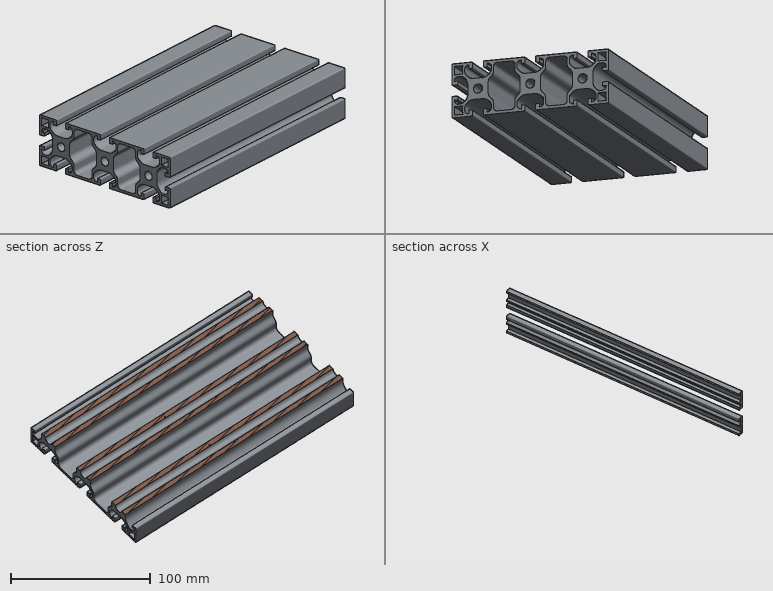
import cadquery as cq

CELL = 40.0
CELL_COUNT = 3
LENGTH = 200.0
WIDTH = CELL * CELL_COUNT
HALF = CELL / 2

SKIN = 2.0
CORE_HALF = 7.8
BORE_DIAMETER = 6.8

OPENING = 8.2
LIP_DEPTH = 4.5
LIP_WIDTH = 2.8
CAVITY_HALF = 10.2
FLOOR_HALF = 6.0
CAVITY_TOP_RADIUS = 3.0
CAVITY_FLANK_RADIUS = 3.5
FLOOR_RADIUS = 6.5

WEB = 1.5
CHAMBER_SIDE = CAVITY_HALF + WEB
CHAMBER_CORE_HALF = 5.8
CHAMBER_CORE_RADIUS = 4.0
CHAMBER_FLANK_RADIUS = 4.0
CHAMBER_CORNER_RADIUS = 3.0

TUBE = HALF - SKIN - CHAMBER_SIDE
OUTER_RADIUS = 1.0
LIP_RADIUS = 1.0
LIP_SMALL_RADIUS = 0.5

TOLERANCE = 0.02

SLOT_UP, SLOT_LEFT, SLOT_DOWN, SLOT_RIGHT = 0, 90, 180, 270


def on_profile_plane():
    """Workplane whose extrusions run along +Y, with X and Z in the plane."""
    return cq.Workplane("XZ", origin=(0, -LENGTH / 2, 0))


def prism(outline):
    """Extrude an outline through the full length."""
    return outline.extrude(-LENGTH)


def edges_at(x, z):
    """Selector for the lengthwise edge at one profile point."""
    return cq.selectors.BoxSelector(
        (x - TOLERANCE, -LENGTH, z - TOLERANCE),
        (x + TOLERANCE, LENGTH, z + TOLERANCE),
    )


def fillet_points(body, points, radius):
    """Round the lengthwise edges at the given profile points."""
    for x, z in points:
        body = body.edges("|Y").edges(edges_at(x, z)).fillet(radius)
    return body


def make_slot():
    """T-slot cutter opening upward, centred on the origin."""
    lip_bottom = HALF - LIP_DEPTH
    cavity_top = HALF - SKIN
    lip_outer = OPENING / 2 + LIP_WIDTH
    flank_end = CORE_HALF + CAVITY_HALF - FLOOR_HALF
    right_side = [
        (FLOOR_HALF, CORE_HALF),
        (CAVITY_HALF, flank_end),
        (CAVITY_HALF, cavity_top),
        (lip_outer, cavity_top),
        (lip_outer, lip_bottom),
        (OPENING / 2, lip_bottom),
        (OPENING / 2, HALF),
    ]
    left_side = [(-x, z) for x, z in reversed(right_side)]
    slot = prism(on_profile_plane().polyline(right_side + left_side).close())
    for side in (-1, 1):
        slot = fillet_points(slot, [(side * CAVITY_HALF, cavity_top)], CAVITY_TOP_RADIUS)
        slot = fillet_points(slot, [(side * CAVITY_HALF, flank_end)], CAVITY_FLANK_RADIUS)
        slot = fillet_points(slot, [(side * FLOOR_HALF, CORE_HALF)], FLOOR_RADIUS)
    return slot


def make_chamber():
    """Hollow between two neighbouring cells, centred on the origin."""
    core_x = HALF - CORE_HALF
    side_x = HALF - CHAMBER_SIDE
    top = HALF - SKIN
    flank_end = CHAMBER_CORE_HALF + core_x - side_x
    quarter = [(core_x, CHAMBER_CORE_HALF), (side_x, flank_end), (side_x, top)]
    upper = quarter + [(-x, z) for x, z in reversed(quarter)]
    lower = [(-x, -z) for x, z in upper]
    chamber = prism(on_profile_plane().polyline(upper + lower).close())
    radii = (CHAMBER_CORE_RADIUS, CHAMBER_FLANK_RADIUS, CHAMBER_CORNER_RADIUS)
    for (x, z), radius in zip(quarter, radii):
        corners = [(sx * x, sz * z) for sx in (-1, 1) for sz in (-1, 1)]
        chamber = fillet_points(chamber, corners, radius)
    return chamber


cell_centers = [(i - (CELL_COUNT - 1) / 2) * CELL for i in range(CELL_COUNT)]
first_cell = cell_centers[0]
last_cell = cell_centers[-1]

result = prism(on_profile_plane().rect(WIDTH, CELL))
result = result.edges("|Y").fillet(OUTER_RADIUS)

slot_places = [(x, turn) for x in cell_centers for turn in (SLOT_UP, SLOT_DOWN)]
slot_places += [(first_cell, SLOT_LEFT), (last_cell, SLOT_RIGHT)]
slot = make_slot()
for x, turn in slot_places:
    result = result.cut(slot.rotate((0, 0, 0), (0, 1, 0), -turn).translate((x, 0, 0)))

chamber = make_chamber()
for x in cell_centers[:-1]:
    result = result.cut(chamber.translate((x + HALF, 0, 0)))

tube_x = WIDTH / 2 - SKIN - TUBE / 2
tube_z = HALF - SKIN - TUBE / 2
tube_centers = [(sx * tube_x, sz * tube_z) for sx in (-1, 1) for sz in (-1, 1)]
result = result.cut(prism(on_profile_plane().pushPoints(tube_centers).rect(TUBE, TUBE)))

bore_centers = [(x, 0) for x in cell_centers]
result = result.cut(prism(on_profile_plane().pushPoints(bore_centers).circle(BORE_DIAMETER / 2)))

for x, turn in slot_places:
    for side in (-1, 1):
        for depth in (0, LIP_DEPTH):
            across = side * OPENING / 2
            along = HALF - depth
            point = {
                SLOT_UP: (x + across, along),
                SLOT_DOWN: (x + across, -along),
                SLOT_LEFT: (x - along, across),
                SLOT_RIGHT: (x + along, across),
            }[turn]
            beside_corner = turn in (SLOT_LEFT, SLOT_RIGHT) or side * x == last_cell
            radius = LIP_RADIUS if beside_corner and depth == 0 else LIP_SMALL_RADIUS
            result = fillet_points(result, [point], radius)